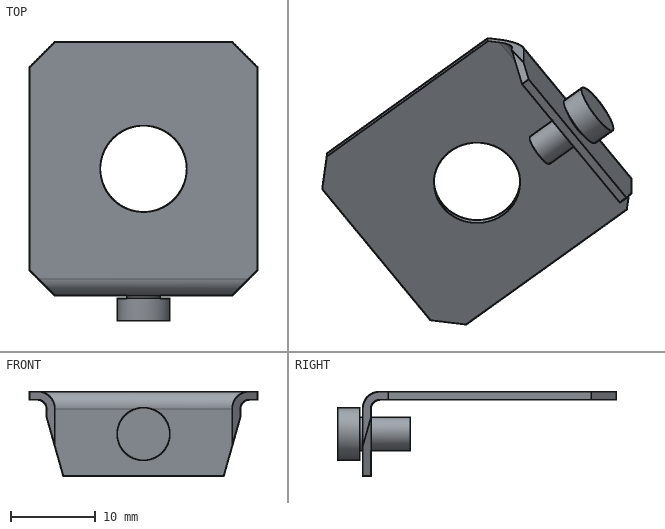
import cadquery as cq

width = 27.0
total_length = 33.0
height = 10.0
thickness = 1.0
bend_outer_radius = 2.0
bend_inner_radius = bend_outer_radius - thickness
corner_cut = 3.0
hole_diameter = 10.2

taper_start_depth = 3.0
taper_start_inset = corner_cut - thickness
bottom_inset = 4.0

head_diameter = 6.25
head_length = 2.65
head_gap = 0.33
shank_diameter = 4.0
pin_length = 8.6
pin_depth = 5.0

head_front = -(head_length + head_gap)
plate_length = total_length + head_front


def bent_sheet():
    """Flat plate with a flange folded down along its front edge."""
    sheet = (
        cq.Workplane("YZ")
        .moveTo(0, 0)
        .lineTo(plate_length, 0)
        .lineTo(plate_length, -thickness)
        .lineTo(thickness, -thickness)
        .lineTo(thickness, -height)
        .lineTo(0, -height)
        .close()
        .extrude(width / 2, both=True)
    )
    sheet = sheet.edges(cq.selectors.NearestToPointSelector((0, 0, 0))).fillet(bend_outer_radius)
    inner_corner = (0, thickness, -thickness)
    return sheet.edges(cq.selectors.NearestToPointSelector(inner_corner)).fillet(bend_inner_radius)


def corner_envelope():
    """Vertical block with the four clipped corners of the plate."""
    return (
        cq.Workplane("XY")
        .center(0, plate_length / 2)
        .rect(width, plate_length)
        .extrude(-height)
        .edges("|Z")
        .chamfer(corner_cut)
    )


def flange_envelope():
    """Front outline that tapers towards the bottom of the flange."""
    half_width = width / 2
    taper_top = half_width - taper_start_inset
    taper_bottom = half_width - bottom_inset
    return (
        cq.Workplane("XZ")
        .polyline([
            (-half_width, 0),
            (half_width, 0),
            (half_width, -taper_start_depth),
            (taper_top, -taper_start_depth),
            (taper_bottom, -height),
            (-taper_bottom, -height),
            (-taper_top, -taper_start_depth),
            (-half_width, -taper_start_depth),
        ])
        .close()
        .extrude(-plate_length)
    )


def pin():
    """Round head and shank along Y, centred on the flange."""
    front = cq.Workplane("XZ", origin=(0, head_front, -pin_depth))
    head = front.circle(head_diameter / 2).extrude(-head_length)
    shank = front.circle(shank_diameter / 2).extrude(-pin_length)
    return head.union(shank)


plate_hole = (
    cq.Workplane("XY")
    .center(0, plate_length / 2)
    .circle(hole_diameter / 2)
    .extrude(-thickness)
)

bracket = bent_sheet().intersect(corner_envelope()).intersect(flange_envelope()).cut(plate_hole)
result = bracket.union(pin())